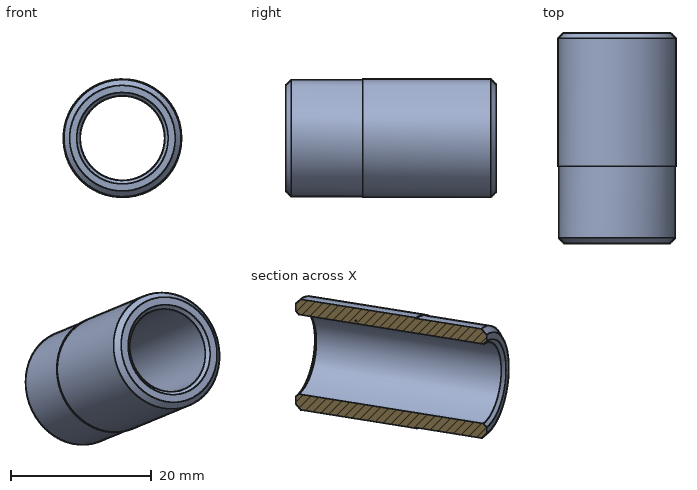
import cadquery as cq

length = 30.0
body_diameter = 16.85
front_diameter = 16.65
bore_diameter = 12.0
front_length = 11.0
outer_chamfer = 0.8
bore_chamfer = 0.5


def cylinder_along_y(diameter, start, end):
    """Solid cylinder around the Y axis between two Y positions."""
    return (
        cq.Workplane("XZ", origin=(0, start, 0))
        .circle(diameter / 2)
        .extrude(start - end)
    )


front_y = -length / 2
back_y = length / 2
step_y = front_y + front_length

front = cylinder_along_y(front_diameter, front_y, step_y).faces("<Y").chamfer(outer_chamfer)
body = cylinder_along_y(body_diameter, step_y, back_y).faces(">Y").chamfer(outer_chamfer)
sleeve = front.union(body)

bore = cylinder_along_y(bore_diameter, front_y, back_y)
sleeve = sleeve.cut(bore)
bore_mouths = cq.selectors.RadiusNthSelector(0)
result = sleeve.faces("<Y or >Y").edges(bore_mouths).chamfer(bore_chamfer)